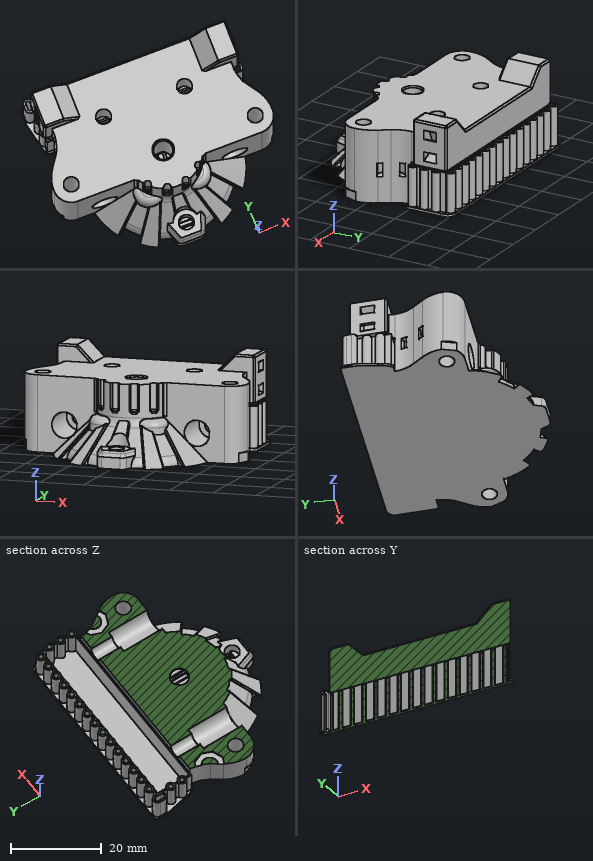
import cadquery as cq
import math


body_height = 17.35
lug_x = 21.7
body_half_width = 25.75
lug_radius = body_half_width - lug_x
body_front_y = -lug_radius
body_rear_y = 11.85
waist_half_width = 21.1
side_slope = math.radians(35)
lug_shoulder_y = 5.0
waist_start_y = 7.4
screw_hole_diameter = 3.4

bevel_angle = 45
cap_radius = 8.75
cap_bottom_z = 9.9
flute_mouth_width = 2.4
flute_radius = 0.75
flute_bevel = 0.35
flute_bevel_clearance = 0.1
flute_centre_inset = 0.3
flute_end_z = 10.75
flute_angles = (-45, -15, 15, 45)
root_half_width = 8.4
root_depth = 0.35
root_width = 0.55
bore_diameter = 4.2
bore_entry_diameter = 4.9
bore_floor_z = 6.2
bore_grooves = ((2.15, 0.5), (1.15, 1.05))

slope_angle = 45
rib_foot_radius = 18.0
side_rib_foot_radius = 18.3
rib_edge_bevel = 0.3
floor_foot_radius = 17.45
floor_roll_z = 2.3
skirt_ribs = (
    (180, 217, side_rib_foot_radius),
    (231.5, 246.5, rib_foot_radius),
    (261, 279, rib_foot_radius),
    (293.5, 308.5, rib_foot_radius),
    (323, 360, side_rib_foot_radius),
)
knob_radius = 3.7
knob_distance = 7.4
knob_angles = (225, 315)
knob_top_z = 9.65
knob_round = 1.65

nose_front_y = -18.0
nose_back_y = -12.8
nose_front_half_width = 3.05
nose_back_half_width = 4.95
nose_top_z = 3.95
nose_corner_radius = 1.3
nose_wall_top_z = 2.65
nose_bevel_break_z = 3.5
nose_bevel_depths = (0.55, 0.4)
nose_hole_y = -14.1
nose_clearance_diameter = 5.8
nose_floor_z = 1.55
nose_steps = ((-14.6, -13.25, 0.5), (-14.6, -14.05, 1.05))

overhang_bottom_z = 10.15
overhang_front_y = 13.25
overhang_rear_y = 21.85
overhang_half_width = 23.0
overhang_overlap = 1.05
block_top_z = 21.15
block_top_inner_x = 18.25
block_foot_x = block_top_inner_x - (block_top_z - body_height)
block_bevel = 0.4
rear_hole_x = 9.55
rear_hole_y = 11.75

tie_width = 3.15
tie_facets = 8
block_tie_y = 17.6
block_tie_z = 15.5
block_tie_inner_radius = 1.5
block_tie_outer_radius = 3.65
side_tie_x = 22.55
side_tie_y = 7.5
side_tie_z = 7.9
side_tie_inner_radius = 1.85
side_tie_outer_radius = 3.4

front_hole_x = 15.35
front_hole_z = 6.45
front_hole_diameter = 3.2
front_bore_diameter = 5.8
front_bore_depth = 10.3

flat_height = 2.3
flat_angle = 20
flat_distance = 3.7
flat_width = 6.2

tray_rear_y = 23.45
tray_floor = 0.65
tray_left_x = -24.6
tray_right_x = 23.85
tray_taper_start_y = 19.7
tray_taper_end = (-23.2, 13.15)
tray_foot_x = -22.45
tray_corner = 1.95
tray_small_corner = 0.6
tray_wall = 0.45
tray_wall_front_y = 12.35
tray_wall_left_x = -22.55
tube_height = 10.05
tube_radius = 1.1
tube_bore_radius = 0.5
tube_pitch = 3.0
rear_tube_count = 15
rear_tube_first_x = -20.2
rear_tube_y = 22.1
left_tube_x = -22.35
left_tube_first_y = 17.8
left_tube_count = 2
right_tube_x = 22.65
right_tube_first_y = 19.1
right_tube_count = 3
long_tube_x = -23.35
long_tube_length = 1.2
web_height = 4.85
web_length = 10.3


def upright(x, y, radius, bottom, top):
    return cq.Workplane("XY", origin=(x, y, bottom)).circle(radius).extrude(top - bottom)


def block(x_range, y_range, z_range):
    corner = (x_range[0], y_range[0], z_range[0])
    size = [high - low for low, high in (x_range, y_range, z_range)]
    return cq.Workplane("XY", origin=corner).box(*size, centered=False)


def both_sides(shape):
    return shape.union(shape.mirror("YZ"))


def polar(radius, degrees):
    angle = math.radians(degrees)
    return radius * math.cos(angle), radius * math.sin(angle)


def make_body():
    shoulder_radius = lug_shoulder_y / math.sin(side_slope)
    waist_radius = (body_rear_y - waist_start_y) / math.sin(side_slope)
    half_slope = side_slope / 2

    def on_shoulder(angle):
        x = body_half_width - shoulder_radius * (1 - math.cos(angle))
        return x, shoulder_radius * math.sin(angle)

    def on_waist(angle):
        x = waist_half_width + waist_radius * (1 - math.cos(angle))
        return x, body_rear_y - waist_radius * math.sin(angle)

    lug_middle = polar(lug_radius, -45)
    half = (
        cq.Workplane("XY")
        .moveTo(0, body_front_y)
        .lineTo(lug_x, body_front_y)
        .threePointArc((lug_x + lug_middle[0], lug_middle[1]), on_shoulder(0))
        .threePointArc(on_shoulder(half_slope), on_shoulder(side_slope))
        .lineTo(*on_waist(side_slope))
        .threePointArc(on_waist(half_slope), on_waist(0))
        .lineTo(0, body_rear_y)
        .close()
        .extrude(body_height)
    )
    return both_sides(half)


def make_cap():
    cap = upright(0, 0, cap_radius, cap_bottom_z, body_height)
    root = (
        cq.Workplane("XY", origin=(0, 0, cap_bottom_z))
        .polyline([
            (0, body_front_y),
            (root_half_width, body_front_y),
            (root_half_width - root_width, body_front_y - root_depth),
            (0, body_front_y - root_depth),
        ])
        .close()
        .extrude(body_height - cap_bottom_z)
    )
    return cap.union(both_sides(root))


def make_flute(angle):
    """Round-bottomed vertical groove whose mouth is beveled at the sides and the lower end."""
    shaft_bottom = flute_end_z + flute_bevel
    shaft = upright(0, flute_centre_inset - cap_radius, flute_radius, shaft_bottom, body_height)
    shaft = shaft.faces("<Z").chamfer(flute_radius / 2)
    outer_y = -cap_radius - flute_bevel_clearance
    bevel_depth = flute_bevel + flute_bevel_clearance
    half_width = flute_mouth_width / 2 + flute_bevel_clearance
    bottom = flute_end_z - flute_bevel_clearance
    mouth = (
        cq.Workplane("XZ", origin=(0, outer_y, 0))
        .polyline([
            (-half_width, body_height + bevel_depth),
            (-half_width, bottom + flute_radius),
            (-half_width + flute_radius, bottom),
            (half_width - flute_radius, bottom),
            (half_width, bottom + flute_radius),
            (half_width, body_height + bevel_depth),
        ])
        .close()
        .extrude(-bevel_depth, taper=bevel_angle)
    )
    return shaft.union(mouth).rotate((0, 0, 0), (0, 0, 1), angle)


def skirt_sector(profile, start, end):
    """Turn a half profile (in the XZ plane) about the cap axis between two angles."""
    return profile.revolve(end - start, (0, 0, 0), (0, 1, 0)).rotate((0, 0, 0), (0, 0, 1), start)


def make_rib(start, end, foot_radius):
    """Wedge with a conical top that reaches the cap wall; its two sloping edges are beveled."""
    top_z = foot_radius - cap_radius
    profile = (
        cq.Workplane("XZ")
        .lineTo(0, top_z)
        .lineTo(cap_radius, top_z)
        .lineTo(foot_radius, 0)
        .close()
    )
    rib = skirt_sector(profile, start, end)
    for angle in (start, end):
        x, y = polar((cap_radius + foot_radius) / 2, angle)
        sloping_edge = cq.selectors.NearestToPointSelector((x, y, top_z / 2))
        rib = rib.edges(sloping_edge).chamfer(rib_edge_bevel)
    return rib


def make_skirt():
    half_slope = slope_angle / 2
    slope_cos = math.cos(math.radians(slope_angle))
    corner_z = floor_foot_radius - cap_radius
    tangent = cap_bottom_z - corner_z
    neck_radius = tangent / math.tan(math.radians(half_slope))
    neck_offset = polar(neck_radius, half_slope)
    neck_middle = (cap_radius + neck_radius - neck_offset[0], cap_bottom_z - neck_offset[1])
    neck_end = (cap_radius + tangent * slope_cos, corner_z - tangent * slope_cos)
    roll_radius = floor_roll_z / slope_cos
    roll_top_radius = floor_foot_radius - floor_roll_z
    roll_centre = roll_top_radius - floor_roll_z
    roll_offset = polar(roll_radius, half_slope)
    roll_middle = (roll_centre + roll_offset[0], roll_offset[1])
    floor_profile = (
        cq.Workplane("XZ")
        .lineTo(0, cap_bottom_z)
        .lineTo(cap_radius, cap_bottom_z)
        .threePointArc(neck_middle, neck_end)
        .lineTo(roll_top_radius, floor_roll_z)
        .threePointArc(roll_middle, (roll_centre + roll_radius, 0))
        .close()
    )
    skirt = skirt_sector(floor_profile, 180, 360)
    for start, end, foot_radius in skirt_ribs:
        skirt = skirt.union(make_rib(start, end, foot_radius))
    for angle in knob_angles:
        knob = upright(*polar(knob_distance, angle), knob_radius, 0, knob_top_z)
        skirt = skirt.union(knob.faces(">Z").edges().fillet(knob_round))
    return skirt


def make_nose():
    """Tapering prism with a two-step bevel on its front and sides and a plain upright back."""
    widening = (nose_back_half_width - nose_front_half_width) / (nose_back_y - nose_front_y)
    rear_y = nose_back_y + sum(nose_bevel_depths)
    rear_half_width = nose_front_half_width + widening * (rear_y - nose_front_y)
    nose = (
        cq.Workplane("XY")
        .polyline([
            (-nose_front_half_width, nose_front_y),
            (nose_front_half_width, nose_front_y),
            (rear_half_width, rear_y),
            (-rear_half_width, rear_y),
        ])
        .close()
        .extrude(nose_wall_top_z)
    )
    nose = nose.edges("|Z and <Y").fillet(nose_corner_radius)
    heights = (nose_bevel_break_z - nose_wall_top_z, nose_top_z - nose_bevel_break_z)
    for height, depth in zip(heights, nose_bevel_depths):
        taper = math.degrees(math.atan2(depth, height))
        nose = nose.faces(">Z").wires().toPending().workplane().extrude(height, taper=taper)
    kept = block((-rear_half_width, rear_half_width), (nose_front_y, nose_back_y), (0, nose_top_z))
    return nose.intersect(kept)


def make_nose_hole():
    """Screw hole with a stepped floor."""
    hole = upright(0, nose_hole_y, screw_hole_diameter / 2, 0, nose_top_z)
    cutter = hole.intersect(upright(0, nose_hole_y, screw_hole_diameter, nose_floor_z, nose_top_z))
    for y_from, y_to, depth in nose_steps:
        z_range = (nose_floor_z - depth, nose_top_z)
        step = block((-screw_hole_diameter, screw_hole_diameter), (y_from, y_to), z_range)
        cutter = cutter.union(hole.intersect(step))
    return cutter


def make_bore():
    """Central bore with an eased entry and a stepped groove across its floor."""
    bore = upright(0, 0, bore_diameter / 2, bore_floor_z, body_height)
    entry_bevel = (bore_entry_diameter - bore_diameter) / 2
    entry = (
        cq.Workplane("XY", origin=(0, 0, body_height))
        .circle(bore_entry_diameter / 2)
        .extrude(-entry_bevel, taper=bevel_angle)
    )
    cutter = bore.union(entry)
    half_length = bore_diameter / 2
    for width, depth in bore_grooves:
        z_range = (bore_floor_z - depth, bore_floor_z)
        groove = block((-width / 2, width / 2), (-half_length, half_length), z_range)
        cutter = cutter.union(groove)
    return cutter


def make_overhang():
    right_half = [
        (overhang_half_width, overhang_bottom_z),
        (overhang_half_width, block_top_z),
        (block_top_inner_x, block_top_z),
        (block_foot_x, body_height),
    ]
    left_half = [(-x, z) for x, z in reversed(right_half)]
    overhang = (
        cq.Workplane("XZ", origin=(0, overhang_rear_y, 0))
        .polyline(right_half + left_half)
        .close()
        .extrude(overhang_rear_y - overhang_front_y)
    )
    for side in ("<X", ">X"):
        overhang = overhang.faces(side).edges("|Y").chamfer(block_bevel)
    overhang = overhang.faces("<Y or >Y").edges().chamfer(block_bevel)
    neck = block(
        (-waist_half_width, waist_half_width),
        (body_rear_y, overhang_front_y + overhang_overlap),
        (overhang_bottom_z, body_height),
    )
    return overhang.union(neck)


def make_tray():
    floor = (
        cq.Workplane("XY")
        .polyline([
            (tray_left_x, tray_rear_y),
            (tray_right_x, tray_rear_y),
            (tray_right_x, body_rear_y),
            (tray_foot_x, body_rear_y),
            tray_taper_end,
            (tray_left_x, tray_taper_start_y),
        ])
        .close()
        .extrude(tray_floor)
    )
    floor = floor.edges("|Z and >X and >Y").fillet(tray_corner)
    floor = floor.edges("|Z and >X and <Y").fillet(tray_small_corner)
    floor = floor.edges("|Z and <X and >Y").fillet(tray_small_corner)

    walls = block(
        (tray_wall_left_x, right_tube_x + tray_wall / 2),
        (tray_wall_front_y, rear_tube_y - tray_wall),
        (0, overhang_bottom_z),
    )
    cavity = block(
        (tray_wall_left_x + tray_wall, right_tube_x - tray_wall / 2),
        (tray_wall_front_y + tray_wall, rear_tube_y - 2 * tray_wall),
        (tray_floor, overhang_bottom_z),
    )
    walls = walls.cut(cavity)
    web = block(
        (-web_length / 2, web_length / 2),
        (body_rear_y, tray_wall_front_y),
        (0, web_height),
    )
    tray = floor.union(walls).union(web)

    tube_centres = [(rear_tube_first_x + i * tube_pitch, rear_tube_y) for i in range(rear_tube_count)]
    tube_centres += [(left_tube_x, left_tube_first_y - i * tube_pitch) for i in range(left_tube_count)]
    tube_centres += [(right_tube_x, right_tube_first_y - i * tube_pitch) for i in range(right_tube_count)]
    long_tube_centre = (long_tube_x, rear_tube_y - long_tube_length / 2)

    def tube_set(radius, bottom):
        plane = cq.Workplane("XY", origin=(0, 0, bottom))
        height = tube_height - bottom
        round_tubes = plane.pushPoints(tube_centres).circle(radius).extrude(height)
        long_tube = (
            plane.center(*long_tube_centre)
            .slot2D(long_tube_length + 2 * radius, 2 * radius, 90)
            .extrude(height)
        )
        return round_tubes.union(long_tube)

    return tray.union(tube_set(tube_radius, 0)).cut(tube_set(tube_bore_radius, tray_floor))


def make_tie_passages():
    block_tie = (
        cq.Workplane("XZ", origin=(overhang_half_width, block_tie_y + tie_width / 2, block_tie_z))
        .polygon(tie_facets, 2 * block_tie_outer_radius)
        .circle(block_tie_inner_radius)
        .extrude(tie_width)
    )
    side_tie = (
        cq.Workplane("XY", origin=(side_tie_x, side_tie_y, side_tie_z - tie_width / 2))
        .polygon(tie_facets, 2 * side_tie_outer_radius)
        .circle(side_tie_inner_radius)
        .extrude(tie_width)
    )
    return both_sides(block_tie.union(side_tie))


def make_front_holes():
    face = cq.Workplane("XZ", origin=(front_hole_x, body_front_y, front_hole_z))
    hole = face.circle(front_hole_diameter / 2).extrude(body_front_y - body_rear_y)
    bore = face.circle(front_bore_diameter / 2).extrude(-front_bore_depth)
    clearance = face.circle(front_bore_diameter / 2).extrude(front_bore_diameter)
    return both_sides(hole.union(bore).union(clearance))


def make_lug_flats():
    x_range = (flat_distance, flat_distance + lug_radius)
    flat = block(x_range, (-flat_width / 2, flat_width / 2), (0, flat_height))
    flat = flat.rotate((0, 0, 0), (0, 0, 1), -flat_angle).translate((lug_x, 0, 0))
    return both_sides(flat)


def make_screw_holes():
    lug_hole = upright(lug_x, 0, screw_hole_diameter / 2, 0, body_height)
    rear_hole = upright(rear_hole_x, rear_hole_y, screw_hole_diameter / 2, overhang_bottom_z, body_height)
    return both_sides(lug_hole.union(rear_hole))


result = make_body().union(make_cap()).union(make_skirt())
for flute_angle in flute_angles:
    result = result.cut(make_flute(flute_angle))
nose_clearance = upright(0, nose_hole_y, nose_clearance_diameter / 2, nose_top_z, cap_bottom_z)
result = result.cut(nose_clearance).union(make_nose()).cut(make_nose_hole()).cut(make_bore())
result = result.cut(make_lug_flats())
result = result.union(make_overhang()).union(make_tray())
result = result.cut(make_tie_passages()).cut(make_front_holes()).cut(make_screw_holes()).solids()